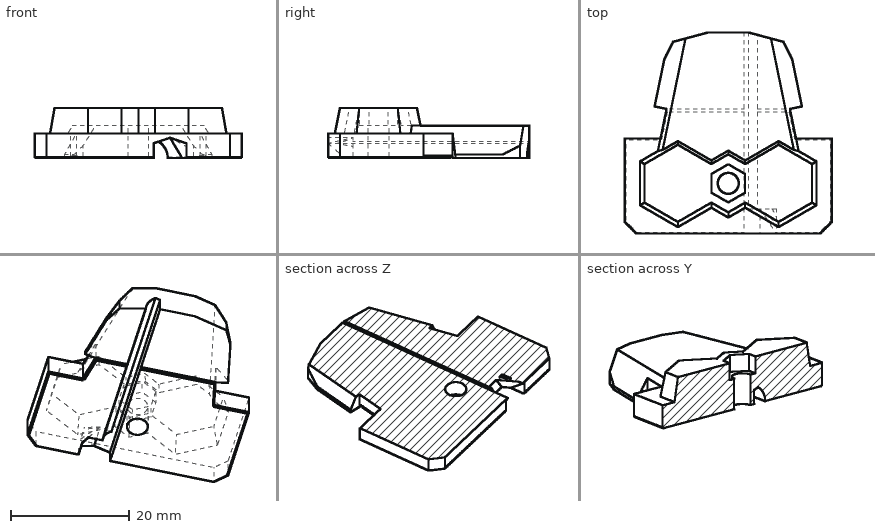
import cadquery as cq
import math

plate_width = 35.0
plate_depth = 16.1
plate_height = 4.2
corner_chamfer = 2.0
bottom_chamfer = 0.25

overall_depth = 34.0
tongue_height = 5.5
tongue_front = 10.5
taper_angle = 11.6
side_draft = 30.0
top_corner_half = 7.2
top_corner_y = 32.97
vertical_foot = 0.6
rear_flat_half = 3.43
rear_corner = (9.3, 32.4)
side_corner = (10.8, 29.45)
notch_rear_y = 21.05

boss_top = 8.5
boss_y = 8.5
boss_spacing = 8.5
large_radius = 6.5
small_radius = 4.9
boss_flare = 0.88
nut_radius = 3.22
nut_depth = 3.0
hole_diameter = 3.5

channel_left = 2.62
channel_right = 8.12
channel_eave = 2.52
channel_peak = 3.45
channel_depth = 4.2
wedge_foot_x = 7.42
bore_x = 1.65
bore_radius = 3.32
groove_width = 0.45
groove_depth = 0.18
relief = 0.25

taper = math.tan(math.radians(taper_angle))
draft_run = math.tan(math.radians(side_draft)) / math.cos(math.radians(taper_angle))


def side_x(y, z):
    """Half width of the leaning tongue side at a depth and height."""
    return top_corner_half + (top_corner_y - y) * taper + (tongue_height - z) * draft_run


def symmetric_prism(right_points, height):
    """Extrude an outline given by its right half, mirrored about X = 0."""
    left_points = [(-x, y) for x, y in reversed(right_points)]
    return cq.Workplane("XY").polyline(right_points + left_points).close().extrude(height)


def leaning_block(z_bottom, z_top):
    """Tapered block bounded by the leaning sides between two heights."""
    def section(workplane, z):
        front = side_x(tongue_front, z)
        rear = side_x(overall_depth, z)
        points = [(front, tongue_front), (rear, overall_depth),
                  (-rear, overall_depth), (-front, tongue_front)]
        return workplane.polyline(points).close()

    lower = section(cq.Workplane("XY").workplane(offset=z_bottom), z_bottom)
    return section(lower.workplane(offset=z_top - z_bottom), z_top).loft(ruled=True)


def make_plate():
    block = cq.Workplane("XY").box(plate_width, plate_depth, plate_height, centered=(True, False, False))
    return block.edges("|Z and <Y").chamfer(corner_chamfer).faces("<Z").edges().chamfer(bottom_chamfer)


def make_tongue():
    foot_half = side_x(notch_rear_y, vertical_foot)
    neck_half = side_x(notch_rear_y, plate_height)
    neck_front_half = side_x(tongue_front, plate_height)
    notch_outer_y = notch_rear_y + (foot_half - neck_half) * taper
    outline = [
        (neck_front_half, tongue_front),
        (neck_half, notch_rear_y),
        (side_x(notch_outer_y, vertical_foot), notch_outer_y),
        side_corner,
        rear_corner,
        (rear_flat_half, overall_depth),
    ]
    foot = symmetric_prism(outline, vertical_foot)
    body = symmetric_prism(outline, tongue_height).intersect(leaning_block(vertical_foot, tongue_height))
    return foot.union(body)


def hexagon(workplane, radius):
    corners = []
    for i in range(6):
        angle = math.radians(60 * i + 30)
        corners.append((radius * math.cos(angle), radius * math.sin(angle)))
    return workplane.polyline(corners).close()


def make_boss(x, top_radius):
    base = cq.Workplane("XY", origin=(x, boss_y, plate_height))
    lower = hexagon(base, top_radius + boss_flare)
    return hexagon(lower.workplane(offset=boss_top - plate_height), top_radius).loft(ruled=True)


def make_screw_seat():
    pocket_floor = cq.Workplane("XY", origin=(0, boss_y, boss_top - nut_depth))
    pocket = hexagon(pocket_floor, nut_radius).extrude(nut_depth)
    hole = cq.Workplane("XY", origin=(0, boss_y, 0)).circle(hole_diameter / 2).extrude(boss_top)
    return pocket.union(hole)


def make_channel():
    peak_x = (channel_left + channel_right) / 2
    mouth = [(channel_left, 0), (channel_right, 0), (channel_right, channel_eave),
             (peak_x, channel_peak), (channel_left, channel_eave)]
    entry = cq.Workplane("XZ").polyline(mouth).close().extrude(-channel_depth)

    slope_run = (wedge_foot_x - peak_x) / channel_peak
    eave_x = peak_x + (channel_peak - channel_eave) * slope_run
    mouth_shift = channel_right - eave_x
    outer_x = wedge_foot_x + 2 * mouth_shift
    mouth_section = [(wedge_foot_x + mouth_shift, 0), (outer_x, 0), (peak_x + mouth_shift, channel_peak)]
    end_section = [(wedge_foot_x, 0), (outer_x, 0), (peak_x, channel_peak)]
    wedge = (
        cq.Workplane("XZ").polyline(mouth_section).close()
        .workplane(offset=-channel_depth).polyline(end_section).close()
        .loft(ruled=True)
    )
    entry = entry.cut(wedge)

    bore = cq.Workplane("XZ", origin=(bore_x, 0, 0)).circle(bore_radius).extrude(-overall_depth)
    passage = cq.Workplane("XZ").polyline(mouth).close().extrude(-overall_depth)
    return entry.union(bore.intersect(passage))


def make_groove():
    """Shallow groove across the underside, just ahead of the tongue's feet."""
    bar = cq.Workplane("XY").box(plate_width, groove_width, groove_depth, centered=(True, False, False))
    return bar.translate((0, notch_rear_y - groove_width, 0))


def make_neck_relief(side):
    """Step and chamfer along the lower edge of the neck on one side (-1 or 1)."""
    start = side_x(plate_depth, plate_height)
    end = side_x(notch_rear_y, plate_height)

    def strip(workplane, inset):
        points = [(start - inset, plate_depth), (end - inset, notch_rear_y),
                  (start + relief, notch_rear_y), (start + relief, plate_depth)]
        return workplane.polyline([(side * x, y) for x, y in points]).close()

    step = strip(cq.Workplane("XY"), relief).extrude(relief)
    slope = strip(strip(cq.Workplane("XY", origin=(0, 0, relief)), relief).workplane(offset=relief), 0)
    return step.union(slope.loft(ruled=True))


result = make_plate().union(make_tongue())
for boss_x, boss_radius in [(-boss_spacing, large_radius), (0, small_radius), (boss_spacing, large_radius)]:
    result = result.union(make_boss(boss_x, boss_radius))
result = result.cut(make_screw_seat()).cut(make_channel()).cut(make_groove())
for neck_side in (-1, 1):
    result = result.cut(make_neck_relief(neck_side))